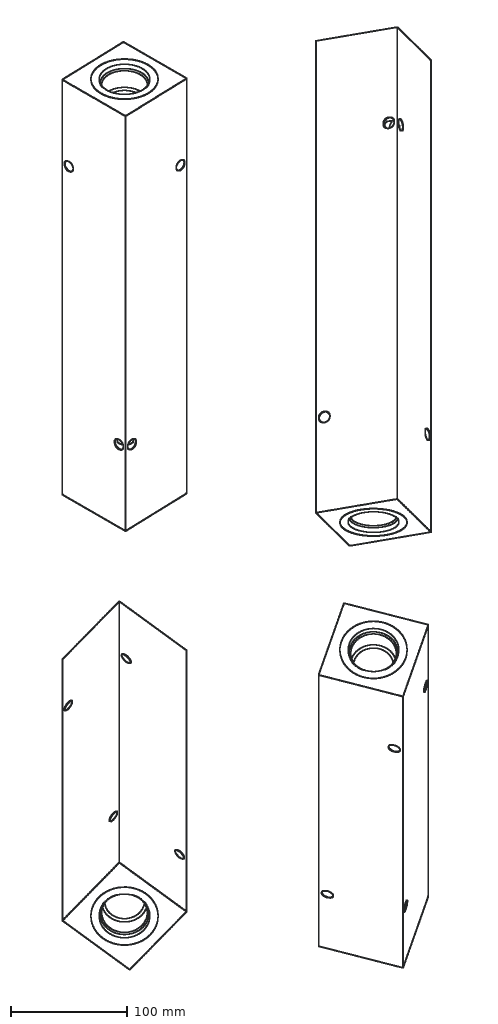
import cadquery as cq
import math

height = 444.5
width = 76.0
edge_chamfer = 0.2

bore_diameter = 34.2
spotface_diameter = 58.0
spotface_depth = 0.5
port_mouth_diameter = 43.5
seal_cone_diameter = 42.0
seal_cone_depth = 4.0
port_diameter = 39.0
port_depth = 23.5
drill_point_angle = 118

cross_hole_diameter = 10.0
cross_hole_chamfer = 0.5
cross_hole_edge_distance = 8.0
cross_hole_end_distance = 89.0

half_height = height / 2
cross_hole_offset = width / 2 - cross_hole_edge_distance
cross_hole_height = half_height - cross_hole_end_distance


def make_port():
    """Top-end cutter: spotface, steep seal cone, 45 degree chamfer, straight wall, drill point."""
    cone_top = half_height - spotface_depth
    cone_bottom = cone_top - seal_cone_depth
    chamfer_bottom = cone_bottom - (seal_cone_diameter - port_diameter) / 2
    wall_bottom = half_height - port_depth
    drill_tip = wall_bottom - port_diameter / 2 / math.tan(math.radians(drill_point_angle / 2))
    return (
        cq.Workplane("XZ")
        .moveTo(0, half_height)
        .lineTo(spotface_diameter / 2, half_height)
        .lineTo(spotface_diameter / 2, cone_top)
        .lineTo(port_mouth_diameter / 2, cone_top)
        .lineTo(seal_cone_diameter / 2, cone_bottom)
        .lineTo(port_diameter / 2, chamfer_bottom)
        .lineTo(port_diameter / 2, wall_bottom)
        .lineTo(0, drill_tip)
        .close()
        .revolve(360, (0, 0, 0), (0, 1, 0))
    )


def make_cross_holes(plane, top_side):
    """Two through cutters with chamfered mouths; top_side (+1 or -1) is the side of the upper hole."""
    upper = (top_side * cross_hole_offset, cross_hole_height)
    lower = (-top_side * cross_hole_offset, -cross_hole_height)
    mouth_diameter = cross_hole_diameter + 2 * cross_hole_chamfer
    cutters = (
        cq.Workplane(plane)
        .pushPoints([upper, lower])
        .circle(cross_hole_diameter / 2)
        .extrude(width / 2, both=True)
    )
    for face_side in (1, -1):
        mouths = (
            cq.Workplane(plane)
            .workplane(offset=face_side * width / 2)
            .pushPoints([upper, lower])
            .circle(mouth_diameter / 2)
            .extrude(-face_side * cross_hole_chamfer, taper=45)
        )
        cutters = cutters.union(mouths)
    return cutters


block = cq.Workplane("XY").box(width, width, height).edges().chamfer(edge_chamfer)
bore = cq.Workplane("XY").circle(bore_diameter / 2).extrude(height, both=True)
top_port = make_port()
bottom_port = top_port.mirror("XY")

result = (
    block.cut(bore)
    .cut(top_port)
    .cut(bottom_port)
    .cut(make_cross_holes("XZ", -1))
    .cut(make_cross_holes("YZ", 1))
)